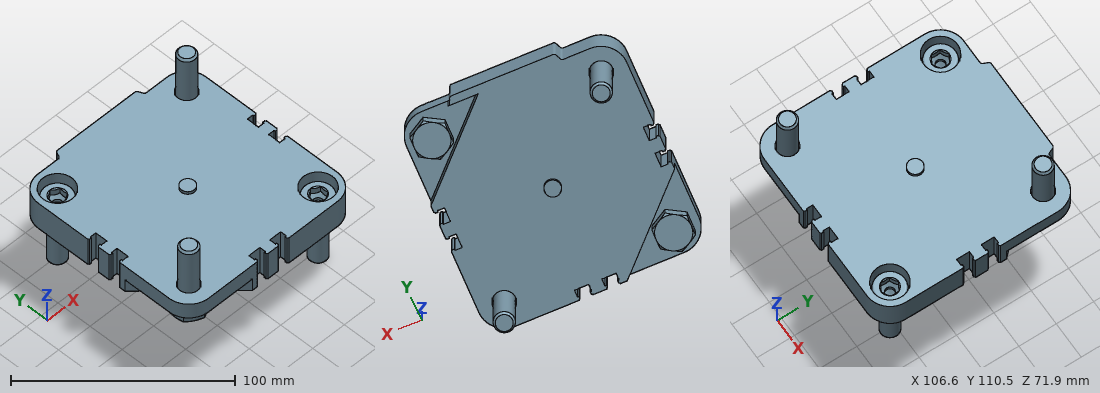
import cadquery as cq
import math

plate_side = 106.6
plate_thickness = 16.6
corner_radius = 12.5
half_side = plate_side / 2

tab_reach = 3.9
tab_base_width = 54.1
tab_tip_width = 50.8
tab_root_fillet = 1.1
tab_tip_fillet = 1.3

slot_offset = 6.6
slot_depth = 5.2
slot_width = 6.9
slot_mouth_width = 5.4
slot_lip_depth = 1.8
slot_mouth_fillet = 0.5
slot_edge_angles = (0, 90, -90)

boss_diameter = 8.0
boss_height = 1.7

screw_offset = 41.0
hex_screw_spots = ((-screw_offset, -screw_offset), (screw_offset, screw_offset))
socket_screw_spots = ((-screw_offset, screw_offset), (screw_offset, -screw_offset))
clearance_diameter = 11.0

recess_height = 7.5
recess_start = 13.3

counterbore_diameter = 18.0
counterbore_depth = 11.0

shank_diameter = 10.0
shank_length = 35.0
tip_chamfer_length = 1.2
tip_chamfer_inset = 1.0

hexagon_turn = 30.0

hex_across_flats = 17.0
hex_head_height = 6.4
washer_face_height = 0.7
washer_face_diameter = 14.6
hex_corner_chamfer_angle = 30.0

socket_head_diameter = 16.0
socket_head_rim_fillet = 1.1
socket_head_height = 6.5
socket_across_flats = 8.0
socket_countersink_diameter = 9.3
socket_depth = 3.2
pilot_diameter = 5.0
pilot_length = 1.7
socket_cone_angle = 90.0


def across_corners(across_flats):
    """Corner-to-corner width of a regular hexagon."""
    return 2 * across_flats / math.sqrt(3)


def revolve_profile(points):
    """Solid of revolution about the Z axis from (radius, z) points."""
    return cq.Workplane("XZ").polyline(points).close().revolve(360, (0, 0, 0), (0, 1, 0))


def make_tab():
    """Tapered tab on the +Y edge with rounded tip corners and filleted roots."""
    tip_y = half_side + tab_reach
    strip_half_width = half_side - corner_radius
    strip_inner_y = half_side - corner_radius
    outline = [
        (-strip_half_width, strip_inner_y),
        (strip_half_width, strip_inner_y),
        (strip_half_width, half_side),
        (tab_base_width / 2, half_side),
        (tab_tip_width / 2, tip_y),
        (-tab_tip_width / 2, tip_y),
        (-tab_base_width / 2, half_side),
        (-strip_half_width, half_side),
    ]
    tab = cq.Workplane("XY").polyline(outline).close().extrude(plate_thickness)
    tips = [(x, tip_y, plate_thickness / 2) for x in (-tab_tip_width / 2, tab_tip_width / 2)]
    roots = [(x, half_side, plate_thickness / 2) for x in (-tab_base_width / 2, tab_base_width / 2)]
    for points, radius in ((tips, tab_tip_fillet), (roots, tab_root_fillet)):
        for point in points:
            tab = tab.edges(cq.selectors.NearestToPointSelector(point)).fillet(radius)
    return tab


def make_slot():
    """Cutter for one undercut slot opening at Y = 0, its mouth edges flared to leave rounded lips."""
    half_mouth = slot_mouth_width / 2
    half_slot = slot_width / 2
    radius = slot_mouth_fillet
    return (
        cq.Workplane("XY")
        .moveTo(-half_mouth - radius, 0)
        .radiusArc((-half_mouth, radius), radius)
        .lineTo(-half_mouth, slot_lip_depth)
        .lineTo(-half_slot, slot_lip_depth)
        .lineTo(-half_slot, slot_depth)
        .lineTo(half_slot, slot_depth)
        .lineTo(half_slot, slot_lip_depth)
        .lineTo(half_mouth, slot_lip_depth)
        .lineTo(half_mouth, radius)
        .radiusArc((half_mouth + radius, 0), radius)
        .close()
        .extrude(plate_thickness)
    )


def make_corner_recess():
    """Triangular cutter for the underside of the (-X, -Y) corner."""
    corner = -half_side
    return (
        cq.Workplane("XY")
        .polyline([(corner, corner), (-recess_start, corner), (corner, -recess_start)])
        .close()
        .extrude(recess_height)
    )


def make_plate():
    plate = (
        cq.Workplane("XY")
        .rect(plate_side, plate_side)
        .extrude(plate_thickness)
        .edges("|Z")
        .fillet(corner_radius)
        .union(make_tab())
    )
    boss = (
        cq.Workplane("XY", origin=(0, 0, -boss_height))
        .circle(boss_diameter / 2)
        .extrude(plate_thickness + 2 * boss_height)
    )
    plate = plate.union(boss)
    for angle in slot_edge_angles:
        for offset in (-slot_offset, slot_offset):
            slot = make_slot().translate((offset, -half_side, 0))
            plate = plate.cut(slot.rotate((0, 0, 0), (0, 0, 1), angle))
    for angle in (0, 180):
        plate = plate.cut(make_corner_recess().rotate((0, 0, 0), (0, 0, 1), angle))
    clearance_holes = (
        cq.Workplane("XY")
        .pushPoints(hex_screw_spots + socket_screw_spots)
        .circle(clearance_diameter / 2)
        .extrude(plate_thickness)
    )
    counterbores = (
        cq.Workplane("XY", origin=(0, 0, plate_thickness))
        .pushPoints(socket_screw_spots)
        .circle(counterbore_diameter / 2)
        .extrude(-counterbore_depth)
    )
    return plate.cut(clearance_holes).cut(counterbores)


def make_shank():
    """Shank rising from Z = 0, with a chamfered tip."""
    shank = cq.Workplane("XY").circle(shank_diameter / 2).extrude(shank_length)
    return shank.faces(">Z").chamfer(tip_chamfer_length, tip_chamfer_inset)


def make_hex_head():
    """Hexagon below Z = 0 with a washer face on top and its lower corners bevelled by a cone."""
    corners = across_corners(hex_across_flats)
    hexagon = (
        cq.Workplane("XY")
        .polygon(6, corners)
        .extrude(-hex_head_height)
        .rotate((0, 0, 0), (0, 0, 1), hexagon_turn)
    )
    washer_face = cq.Workplane("XY").circle(washer_face_diameter / 2).extrude(-washer_face_height)
    bevel_height = (corners - hex_across_flats) / 2 * math.tan(math.radians(hex_corner_chamfer_angle))
    bevelled_blank = revolve_profile([
        (0, -hex_head_height),
        (hex_across_flats / 2, -hex_head_height),
        (corners / 2, bevel_height - hex_head_height),
        (corners / 2, -washer_face_height),
        (0, -washer_face_height),
    ])
    return hexagon.intersect(bevelled_blank).union(washer_face)


def make_socket_head():
    """Round head below Z = 0 with a rounded rim."""
    head = cq.Workplane("XY").circle(socket_head_diameter / 2).extrude(-socket_head_height)
    return head.faces("<Z").edges().fillet(socket_head_rim_fillet)


def make_socket():
    """Cutter for the countersunk hexagon socket and its pilot hole, entering at the head's outer face."""
    cone_slope = 1 / math.tan(math.radians(socket_cone_angle / 2))
    rim_radius = socket_countersink_diameter / 2
    hexagon_radius = across_corners(socket_across_flats) / 2
    flat_radius = socket_across_flats / 2
    pilot_radius = pilot_diameter / 2

    mouth_z = -socket_head_height
    countersink_end_z = mouth_z + (rim_radius - flat_radius) * cone_slope
    floor_z = mouth_z + socket_depth
    pilot_top_z = floor_z + (hexagon_radius - pilot_radius) * cone_slope
    pilot_end_z = pilot_top_z + pilot_length
    point_z = pilot_end_z + pilot_radius * cone_slope

    countersink = revolve_profile([
        (0, mouth_z),
        (rim_radius, mouth_z),
        (flat_radius, countersink_end_z),
        (0, countersink_end_z),
    ])
    hexagon = (
        cq.Workplane("XY", origin=(0, 0, mouth_z))
        .polygon(6, 2 * hexagon_radius)
        .extrude(point_z - mouth_z)
        .rotate((0, 0, 0), (0, 0, 1), hexagon_turn)
    )
    bore = revolve_profile([
        (0, mouth_z),
        (hexagon_radius, mouth_z),
        (hexagon_radius, floor_z),
        (pilot_radius, pilot_top_z),
        (pilot_radius, pilot_end_z),
        (0, point_z),
    ])
    return hexagon.intersect(bore).union(countersink)


def make_hex_screw(spot):
    """Screw pointing up, its washer face against the ceiling of a corner recess."""
    return make_shank().union(make_hex_head()).translate((*spot, recess_height))


def make_socket_screw(spot):
    """Screw pointing down, its head seated in a counterbore."""
    screw = make_shank().union(make_socket_head()).cut(make_socket())
    seat_z = plate_thickness - counterbore_depth
    return screw.rotate((0, 0, 0), (1, 0, 0), 180).translate((*spot, seat_z))


plate = make_plate()
hex_screws = [make_hex_screw(spot) for spot in hex_screw_spots]
socket_screws = [make_socket_screw(spot) for spot in socket_screw_spots]

screw_solids = [screw.val() for screw in hex_screws + socket_screws]
result = cq.Compound.makeCompound([plate.val(), *screw_solids])